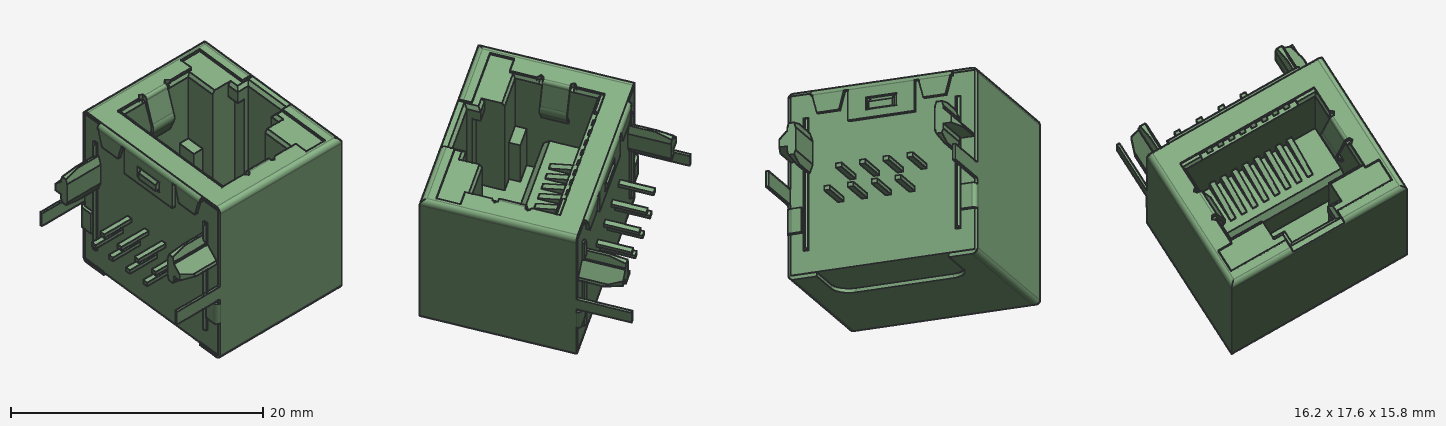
import cadquery as cq

overall_length = 17.55
width = 16.25
height = 15.75
ground_tab_length = 4.6
body_depth = overall_length - ground_tab_length
half_width = width / 2
edge_radius = 0.47
shell_wall = 0.23
overlap = 0.09

bottom_wall = 0.35
face_proud = 0.07

relief_half_width = 5.67
relief_depth = 4.51
relief_radius = 1.5

opening_half = 6.2
opening_low = 1.91
lead_low = 2.21
shoulder_y = 9.5
shoulder_half = 3.12
key_step_y = 11.2
key_half = 2.32
key_top_y = 12.37
side_lead = 0.21
shoulder_lead = 0.23
step_lead = 0.26
key_lead = 0.32
lead_depth = 0.32
plug_low = 2.42
cavity_floor = 3.86

ledge_half = 4.44
ledge_z = height - shell_wall - lead_depth

under_step_y = 11.64
under_step_z = 14.04

window_half = 7.44
window_low = 9.78
window_high = 11.78
window_notch_half = 2.37

contact_block_y = 6.4
contact_block_z = 7.9
contact_block_slope = 0.53
contact_end_y = 5.69
contact_rise = 1.05
contact_tip_high = 2.18
corner_block_half = 4.28
corner_block_low = 8.32
corner_block_z = 8.78

pin_count = 8
pin_pitch = 1.02
pin_width = 0.47
pin_height = 0.37
pin_length = 2.98
pin_rows = (6.16, 7.93)

spring_low = 4.74
spring_high = 7.0
spring_gauge = 0.23
spring_curl = 0.3
spring_lean = 0.67
elbow_bulge = 0.14
elbow_top_z = 13.34
elbow_end_z = 12.28
spring_tip_x = 5.62
spring_tip_z = 11.32
slit_width = 0.53
slit_neck = 0.3
slit_reach = 0.32

flap_y = -0.37
fold_half = 6.05
side_flap_bottom = 13.7
side_flap_root_outer = 5.93
side_flap_root_inner = 3.2
side_flap_taper = 0.42
center_flap_half = 2.85
center_flap_bottom = 12.67
catch_window_half = 1.3
catch_window_low = 13.35
catch_window_high = 14.39
catch_half = 1.0
catch_crest_z = 13.95
catch_y = -0.5

side_tab_inner = 6.85
side_tab_low = 3.8
side_tab_high = 5.88
ground_tab_low = 6.34
ground_tab_high = 7.65
ground_tab_root = 0.18
rail_outer = 6.72
rail_inner = 6.32
rail_y = -0.4
rail_low = 2.26
rail_high = 13.43
rail_bevel = 0.15

post_length = 3.65
post_straight = 2.28
post_outer = 6.7
post_inner = 5.97
post_crest_outer = 6.44
post_crest_inner = 6.23
post_low = 8.8
post_high = 12.18
post_flat_low = 9.48
post_flat_high = 11.4
post_tip_taper = 0.35
prong_top = 11.2
prong_nose_z = 10.18
prong_bottom = 9.9
prong_tip = 7.85
prong_end_tip = 7.37


def box(x0, x1, y0, y1, z0, z1):
    corner = (min(x0, x1), y0, z0)
    return cq.Workplane("XY").box(abs(x1 - x0), y1 - y0, z1 - z0, centered=False).translate(corner)


def prism_along_x(points_yz, x0, x1):
    return cq.Workplane("YZ", origin=(x0, 0, 0)).polyline(points_yz).close().extrude(x1 - x0)


def prism_along_y(points_xz, y0, y1):
    return cq.Workplane("XZ", origin=(0, y0, 0)).polyline(points_xz).close().extrude(y0 - y1)


def prism_along_z(points_xy, z0, z1):
    return cq.Workplane("XY", origin=(0, 0, z0)).polyline(points_xy).close().extrude(z1 - z0)


def mirrored(half_points):
    """Close a right-hand half outline with its mirror image about X = 0."""
    return half_points + [(-x, y) for x, y in reversed(half_points)]


def both_sides(solid):
    return solid.union(solid.mirror("YZ"))


def make_body():
    across = box(-half_width, half_width, 0, body_depth, 0, height).edges("|Y").fillet(edge_radius)
    along = box(-half_width, half_width, 0, body_depth, 0, height).edges("|X and >Y").fillet(edge_radius)
    face_half = half_width - shell_wall
    face = box(-face_half, face_half, -face_proud, overlap, bottom_wall, height - shell_wall)
    return across.intersect(along).union(face)


def make_relief():
    outline = box(-relief_half_width, relief_half_width, -relief_depth, relief_depth, 0, bottom_wall)
    return outline.edges("|Z").fillet(relief_radius)


def opening_outline(inset):
    """Stepped plug outline; inset 0 is the rim, inset 1 the inner end of the lead-in."""
    side = opening_half - inset * side_lead
    key = key_half - inset * key_lead
    step = key_step_y - inset * step_lead
    shoulder = shoulder_y - inset * shoulder_lead
    low = lead_low + inset * (plug_low - lead_low)
    return mirrored([
        (side, low),
        (side, shoulder),
        (shoulder_half, shoulder),
        (shoulder_half, step),
        (key, step),
        (key, key_top_y - inset * key_lead),
    ])


def make_opening():
    rim_z = height - shell_wall
    rim = prism_along_z(opening_outline(0), rim_z, height)
    lead_in = (
        cq.Workplane("XY", origin=(0, 0, rim_z)).polyline(opening_outline(0)).close()
        .workplane(offset=-lead_depth).polyline(opening_outline(1)).close().loft(ruled=True)
    )
    cavity = prism_along_z(opening_outline(1), cavity_floor, ledge_z)
    under_step = box(-shoulder_half, shoulder_half, shoulder_y, under_step_y, cavity_floor, under_step_z)
    sill = box(-opening_half, opening_half, opening_low, plug_low, rim_z, height)
    contact_ledge = box(-ledge_half, ledge_half, opening_low, plug_low, ledge_z, rim_z)
    return rim.union(lead_in).union(cavity).union(under_step).union(sill).union(contact_ledge)


def make_shell_window():
    z0 = height - shell_wall
    window = box(-window_half, window_half, window_low, window_high, z0, height)
    throat = box(-opening_half, opening_half, shoulder_y, window_low, z0, height)
    notch = box(-window_notch_half, window_notch_half, window_low, body_depth, z0, height)
    return window.union(throat).union(notch)


def make_slits():
    middle = (spring_low + spring_high) / 2
    start = spring_high - middle
    outline = [
        (opening_half - side_lead, start),
        (opening_half + slit_reach / 2, start),
        (opening_half + slit_reach, start + slit_width / 2),
        (opening_half, start + slit_width),
        (opening_half, start + slit_neck),
        (opening_half - side_lead, start + slit_neck),
    ]
    upper = prism_along_z(outline, ledge_z, height)
    pair = upper.union(upper.mirror("XZ")).translate((0, middle, 0))
    return both_sides(pair)


def pin_x(index):
    return (index - (pin_count - 1) / 2) * pin_pitch


def make_contacts():
    block = prism_along_x(
        [
            (plug_low - overlap, cavity_floor - overlap),
            (plug_low - overlap, contact_block_z),
            (contact_block_y, contact_block_z),
            (contact_block_y + contact_block_slope, contact_block_z - contact_block_slope),
            (contact_block_y + contact_block_slope, cavity_floor - overlap),
        ],
        -opening_half, opening_half,
    )
    blade = [
        (plug_low - overlap, contact_block_z - overlap),
        (plug_low - overlap, contact_block_z + contact_rise),
        (contact_end_y, contact_block_z + overlap),
        (contact_end_y, contact_block_z - overlap),
    ]
    tip_rise = contact_tip_high - opening_low
    tip = [
        (opening_low, ledge_z - overlap),
        (opening_low, ledge_z + tip_rise),
        (contact_tip_high, ledge_z),
        (contact_tip_high, ledge_z - overlap),
    ]
    for index in range(pin_count):
        x0 = pin_x(index) - pin_width / 2
        block = block.union(prism_along_x(blade, x0, x0 + pin_width))
        block = block.union(prism_along_x(tip, x0, x0 + pin_width))
    return block


def make_corner_block():
    return box(
        corner_block_half, opening_half, corner_block_low, shoulder_y,
        cavity_floor - overlap, corner_block_z,
    )


def make_spring():
    """Leaf that curls over the rim, leans into the opening and bends back to the side wall."""
    lip_x = opening_half - spring_curl
    lip_z = height - spring_curl
    elbow_top_x = opening_half - spring_curl - spring_lean
    elbow_end_x = elbow_top_x - elbow_bulge
    elbow_middle_z = (elbow_top_z + elbow_end_z) / 2
    return (
        cq.Workplane("XZ", origin=(0, spring_high, 0))
        .moveTo(opening_half + spring_gauge, height)
        .lineTo(opening_half, height)
        .radiusArc((lip_x, lip_z), -spring_curl)
        .lineTo(elbow_top_x, elbow_top_z)
        .threePointArc((elbow_end_x, elbow_middle_z), (elbow_top_x, elbow_end_z))
        .lineTo(spring_tip_x, spring_tip_z)
        .lineTo(spring_tip_x + spring_gauge, spring_tip_z)
        .lineTo(elbow_top_x + spring_gauge, elbow_end_z)
        .threePointArc(
            (elbow_end_x + spring_gauge, elbow_middle_z), (elbow_top_x + spring_gauge, elbow_top_z),
        )
        .lineTo(opening_half, lip_z)
        .lineTo(opening_half + spring_gauge, lip_z)
        .close()
        .extrude(spring_high - spring_low)
    )


def make_pins():
    pins = cq.Workplane("XY")
    for index in range(pin_count):
        x = pin_x(index)
        z = pin_rows[index % 2]
        pins = pins.union(box(
            x - pin_width / 2, x + pin_width / 2, -pin_length, overlap,
            z - pin_height / 2, z + pin_height / 2,
        ))
    return pins


def make_flaps():
    fold_bottom = height - edge_radius
    fold = box(-fold_half, fold_half, flap_y, edge_radius, fold_bottom - overlap, height)
    fold = fold.edges("|X and <Y and >Z").fillet(edge_radius)
    fold = fold.intersect(box(-fold_half, fold_half, flap_y, edge_radius, fold_bottom, height))
    center = box(-center_flap_half, center_flap_half, flap_y, 0, center_flap_bottom, fold_bottom)
    catch_window = box(
        -catch_window_half, catch_window_half, flap_y, -face_proud, catch_window_low, catch_window_high,
    )
    catch = prism_along_x(
        [
            (0, catch_window_high),
            (-face_proud, catch_window_high),
            (catch_y, catch_crest_z),
            (catch_y, catch_window_low),
            (0, catch_window_low),
        ],
        -catch_half, catch_half,
    )
    side_flap = prism_along_y(
        [
            (side_flap_root_outer, fold_bottom),
            (side_flap_root_inner, fold_bottom),
            (side_flap_root_inner + side_flap_taper, side_flap_bottom),
            (side_flap_root_outer - side_flap_taper, side_flap_bottom),
        ],
        flap_y, 0,
    )
    return fold.union(center).cut(catch_window).union(catch).union(both_sides(side_flap))


def make_side_tab():
    tab = box(side_tab_inner, half_width, flap_y, overlap, side_tab_low, side_tab_high)
    return tab.edges("|Z and >X and <Y").fillet(-flap_y)


def make_ground_tab():
    x0 = half_width - shell_wall
    tab = box(x0, half_width, -ground_tab_length, 0, ground_tab_low, ground_tab_high)
    root = box(
        x0, half_width, -ground_tab_root, overlap,
        ground_tab_low - ground_tab_root, ground_tab_high + ground_tab_root,
    )
    for z in (ground_tab_low - ground_tab_root, ground_tab_high + ground_tab_root):
        round_cut = cq.Workplane("YZ", origin=(x0, 0, 0)).center(-ground_tab_root, z)
        root = root.cut(round_cut.circle(ground_tab_root).extrude(shell_wall))
    return tab.union(root)


def make_rail():
    rail = box(rail_inner, rail_outer, rail_y, overlap, rail_low, rail_high)
    return rail.faces("<Y").edges().chamfer(rail_bevel)


def make_post():
    """Lens-shaped blade with an outward prong; both narrow toward the tip."""
    blade = (
        cq.Workplane("XZ", origin=(0, overlap, 0))
        .moveTo(post_outer, post_flat_low)
        .lineTo(post_outer, post_flat_high)
        .lineTo(post_crest_outer, post_high)
        .lineTo(post_crest_inner, post_high)
        .lineTo(post_inner, post_flat_high)
        .lineTo(post_inner, post_flat_low)
        .lineTo(post_crest_inner, post_low)
        .lineTo(post_crest_outer, post_low)
        .close()
        .extrude(post_length + overlap)
    )
    side_profile = prism_along_x(
        [
            (overlap, post_low),
            (overlap, post_high),
            (-post_straight, post_high),
            (-post_length, post_high - post_tip_taper),
            (-post_length, post_low + post_tip_taper),
            (-post_straight, post_low),
        ],
        post_inner, post_outer,
    )
    prong = prism_along_y(
        [
            (post_outer - overlap, prong_top),
            (post_outer, prong_top),
            (prong_tip - overlap, prong_nose_z),
            (prong_tip, prong_bottom),
            (post_outer - overlap, prong_bottom),
        ],
        -post_length, overlap,
    )
    prong_profile = prism_along_z(
        [
            (post_outer - overlap, overlap),
            (prong_tip, overlap),
            (prong_tip, -post_straight),
            (prong_end_tip, -post_length),
            (post_outer - overlap, -post_length),
        ],
        prong_bottom, prong_top,
    )
    return blade.intersect(side_profile).union(prong.intersect(prong_profile))


result = make_body()
for cutout in (make_relief(), make_opening(), make_shell_window(), make_slits()):
    result = result.cut(cutout)
result = result.union(make_contacts()).union(make_pins()).union(make_flaps())
for side_feature in (
    make_corner_block(), make_spring(), make_side_tab(), make_ground_tab(), make_rail(), make_post(),
):
    result = result.union(both_sides(side_feature))